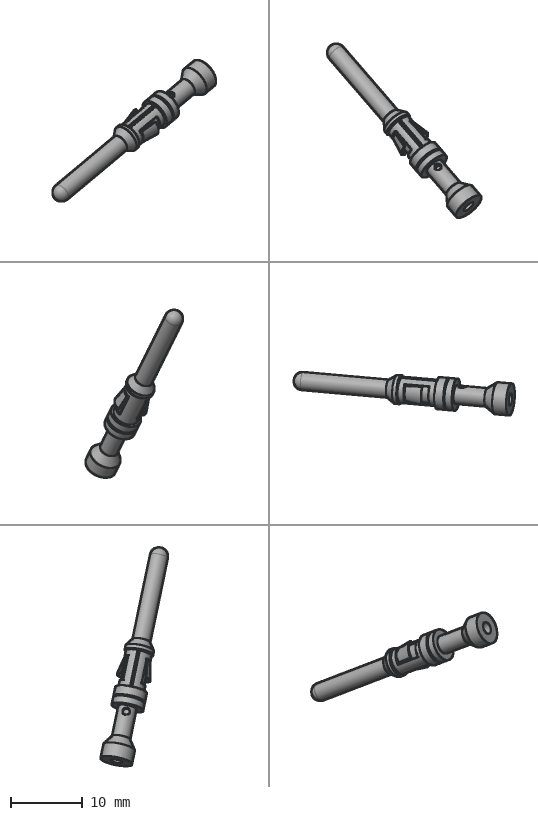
import cadquery as cq
import math

length = 31.3
shaft_radius = 1.3
pin_radius = 1.28
rim_radius = 2.25

cup_end = 2.0
cup_taper_end = 3.4

flange_start = 7.85
flange_end = 10.4
flange_groove_start = 8.92
flange_groove_width = 0.15
flange_groove_depth = 0.15

sleeve_radius = 1.85
sleeve_thickness = 0.2
core_radius = sleeve_radius - sleeve_thickness
sleeve_end = 15.85
slot_width = 0.3

collar_start = 15.93
collar_end = 16.53
collar_radius = 2.05
collar_taper_end = 17.65

window_start = 11.35
window_end = 14.95
window_height = 2.63

tab_tip = 12.27
tab_root = 14.8
tab_span = 4.8
tab_thickness = 0.22
tab_tip_height = 2.7
tab_root_height = 2.25

bore_radius = 0.85
bore_depth = 7.85
inspection_hole_radius = 0.5
inspection_hole_station = 6.98

rear_y = length / 2


def y_at(station):
    return rear_y - station


def cylinder(radius, start, end):
    """Solid cylinder on the Y axis between two stations."""
    return (
        cq.Workplane("XZ", origin=(0, y_at(start), 0))
        .circle(radius)
        .extrude(end - start)
    )


def turned_body():
    """Half profile revolved about the Y axis, with a hemispherical tip."""
    tip_center = length - pin_radius
    arc_offset = pin_radius * math.sqrt(0.5)
    groove_end = flange_groove_start + flange_groove_width
    groove_radius = rim_radius - flange_groove_depth
    return (
        cq.Workplane("XY")
        .moveTo(0, y_at(0))
        .lineTo(rim_radius, y_at(0))
        .lineTo(rim_radius, y_at(cup_end))
        .lineTo(shaft_radius, y_at(cup_taper_end))
        .lineTo(shaft_radius, y_at(flange_start))
        .lineTo(rim_radius, y_at(flange_start))
        .lineTo(rim_radius, y_at(flange_groove_start))
        .lineTo(groove_radius, y_at(flange_groove_start))
        .lineTo(groove_radius, y_at(groove_end))
        .lineTo(rim_radius, y_at(groove_end))
        .lineTo(rim_radius, y_at(flange_end))
        .lineTo(core_radius, y_at(flange_end))
        .lineTo(core_radius, y_at(collar_start))
        .lineTo(collar_radius, y_at(collar_start))
        .lineTo(collar_radius, y_at(collar_end))
        .lineTo(pin_radius, y_at(collar_taper_end))
        .lineTo(pin_radius, y_at(tip_center))
        .threePointArc(
            (arc_offset, y_at(tip_center + arc_offset)),
            (0, y_at(length)),
        )
        .close()
        .revolve(360, (0, 0, 0), (0, 1, 0))
    )


def spring_sleeve():
    """Thin sleeve around the core, split along the top, with two side windows."""
    sleeve = cylinder(sleeve_radius, flange_end, sleeve_end)
    sleeve = sleeve.cut(cylinder(core_radius, flange_end, sleeve_end))
    sleeve_length = sleeve_end - flange_end
    slot = (
        cq.Workplane("XY")
        .box(slot_width, sleeve_length, sleeve_radius, centered=(True, True, False))
        .translate((0, y_at((flange_end + sleeve_end) / 2), 0))
    )
    edge_x = math.sqrt(sleeve_radius**2 - (window_height / 2) ** 2)
    right_window = (
        cq.Workplane("XZ", origin=(0, y_at(window_start), 0))
        .polyline([(0, 0), (2 * edge_x, window_height), (2 * edge_x, -window_height)])
        .close()
        .extrude(window_end - window_start)
    )
    windows = right_window.union(right_window.mirror("YZ"))
    return sleeve.cut(slot).cut(windows)


def tab_section(station, outward_shift, height):
    """Ring sector on the +X side with radial ends, shifted along X."""
    half_angle = math.asin(height / 2 / sleeve_radius)
    inner_radius = sleeve_radius - tab_thickness

    def point(radius, angle):
        return (outward_shift + radius * math.cos(angle), radius * math.sin(angle))

    return (
        cq.Workplane("XZ", origin=(0, y_at(station), 0))
        .moveTo(*point(sleeve_radius, -half_angle))
        .threePointArc(point(sleeve_radius, 0), point(sleeve_radius, half_angle))
        .lineTo(*point(inner_radius, half_angle))
        .threePointArc(point(inner_radius, 0), point(inner_radius, -half_angle))
        .close()
        .val()
    )


def latch_tab():
    """Curved, tapered tab on the +X side, leaning outwards towards the rear."""
    tip = tab_section(tab_tip, tab_span / 2 - sleeve_radius, tab_tip_height)
    root = tab_section(tab_root, 0, tab_root_height)
    return cq.Workplane("XY").newObject([cq.Solid.makeLoft([tip, root], True)])


def inspection_hole():
    """Radial hole in the top of the barrel, opening into the wire bore."""
    return (
        cq.Workplane("XY", origin=(0, y_at(inspection_hole_station), 0))
        .circle(inspection_hole_radius)
        .extrude(rim_radius)
    )


tab = latch_tab()
result = (
    turned_body()
    .union(spring_sleeve())
    .union(tab)
    .union(tab.mirror("YZ"))
    .cut(cylinder(bore_radius, 0, bore_depth))
    .cut(inspection_hole())
)